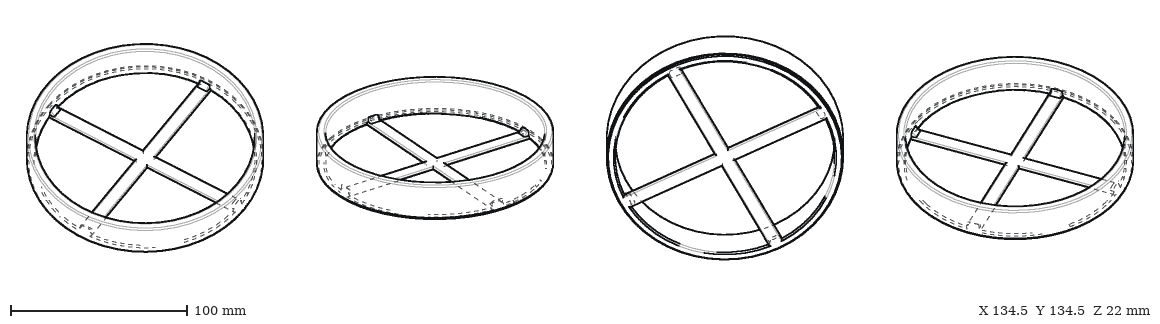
import cadquery as cq

outer_diameter = 134.5
inner_diameter = 124.5
height = 22.0
rim_fillet = 1.0

foot_chamfer = 0.75
taper_height = 0.75
taper_inset = 0.25

bar_width = 8.5
bar_thickness = 2.0
bar_fillet = 0.8

wedge_count = 4
wedge_length = 3.0
wedge_height = 3.0
wedge_fillet = 0.8
wedge_width = bar_width - 2 * bar_fillet

outer_radius = outer_diameter / 2
inner_radius = inner_diameter / 2
wall_middle_radius = (outer_radius + inner_radius) / 2


def make_ring():
    """Band with rounded rims, except for the two-step bevel at the bottom outer rim."""
    taper_foot_radius = outer_radius - taper_inset
    section = [
        (inner_radius, 0),
        (taper_foot_radius - foot_chamfer, 0),
        (taper_foot_radius, foot_chamfer),
        (outer_radius, foot_chamfer + taper_height),
        (outer_radius, height),
        (inner_radius, height),
    ]
    axis_start = (0, 0, 0)
    axis_end = (0, 1, 0)
    band = cq.Workplane("XZ").polyline(section).close().revolve(360, axis_start, axis_end)
    band = band.faces(">Z").edges().fillet(rim_fillet)
    bottom_inner_edge = band.faces("<Z").edges(cq.selectors.RadiusNthSelector(0))
    return bottom_inner_edge.fillet(rim_fillet)


def make_cross():
    """Two crossing bars with rounded long edges; their ends are buried in the ring wall."""
    length = 2 * wall_middle_radius
    along_x = cq.Workplane("XY").box(length, bar_width, bar_thickness, centered=(True, True, False))
    along_y = cq.Workplane("XY").box(bar_width, length, bar_thickness, centered=(True, True, False))
    return along_x.union(along_y).faces("<Z or >Z").edges().fillet(bar_fillet)


def make_wedge():
    """Sloped block at the +X end of the cross, rising from the bar to the ring wall.

    The slope runs on past its toe into the bar and past the wall surface into the ring,
    so both of them cut off its rounded side edges.
    """
    slope = wedge_height / wedge_length
    toe_radius = inner_radius - wedge_length
    base_height = bar_thickness / 2
    base_radius = toe_radius - (bar_thickness - base_height) / slope
    head_height = bar_thickness + slope * (wall_middle_radius - toe_radius)
    profile = [
        (base_radius, base_height),
        (wall_middle_radius, head_height),
        (wall_middle_radius, base_height),
    ]
    block = cq.Workplane("XZ").polyline(profile).close().extrude(wedge_width / 2, both=True)
    slope_edges = block.edges(cq.selectors.ParallelDirSelector(cq.Vector(1, 0, slope)))
    return slope_edges.fillet(wedge_fillet)


result = make_ring().union(make_cross())
for index in range(wedge_count):
    wedge = make_wedge().rotate((0, 0, 0), (0, 0, 1), index * 360 / wedge_count)
    result = result.union(wedge)